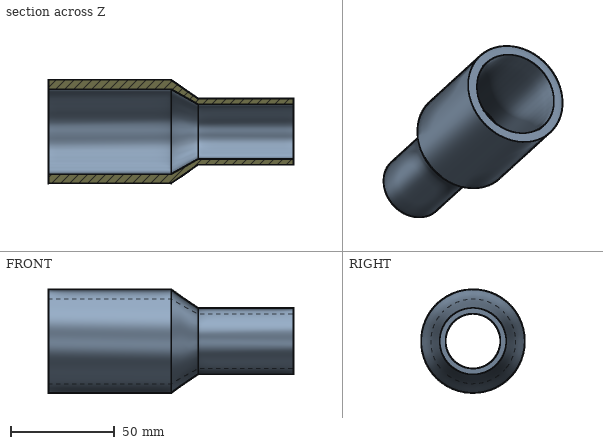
import cadquery as cq

large_diameter = 50.0
large_wall = 4.6
small_diameter = 32.0
small_wall = 2.9

total_length = 118.0
large_length = 59.0
cone_length = 13.0

cone_start = large_length
cone_end = cone_start + cone_length


def stepped_cone(large_radius, small_radius):
    """Solid of revolution about X: large cylinder, cone, small cylinder."""
    return (
        cq.Workplane("XY")
        .moveTo(0, 0)
        .lineTo(0, large_radius)
        .lineTo(cone_start, large_radius)
        .lineTo(cone_end, small_radius)
        .lineTo(total_length, small_radius)
        .lineTo(total_length, 0)
        .close()
        .revolve(360, (0, 0, 0), (1, 0, 0))
    )


large_radius = large_diameter / 2
small_radius = small_diameter / 2

outer_body = stepped_cone(large_radius, small_radius)
bore = stepped_cone(large_radius - large_wall, small_radius - small_wall)

result = outer_body.cut(bore)